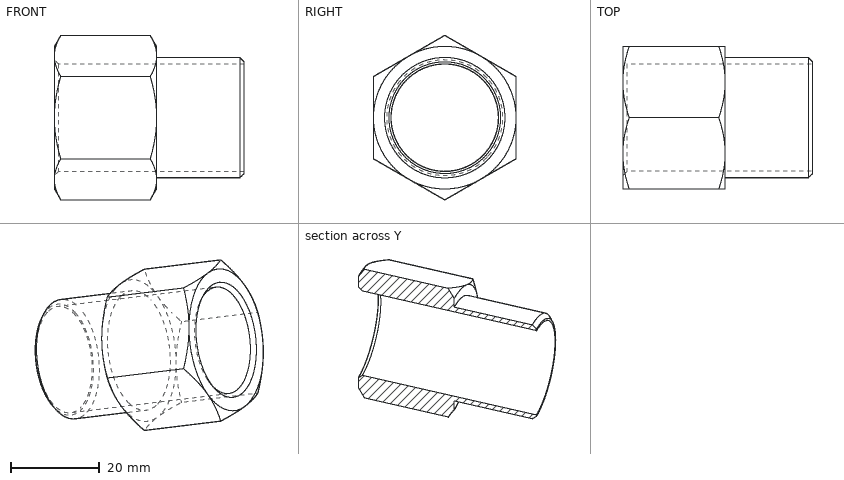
import cadquery as cq
import math

total_length = 42.7
hex_length = 23.0
across_flats = 32.1
spigot_diameter = 27.1
bore_diameter = 24.13
spigot_chamfer = 1.0
bore_chamfer = 1.0
corner_chamfer_angle = 30.0

across_corners = across_flats / math.cos(math.radians(30))
flat_radius = across_flats / 2
corner_radius = across_corners / 2
corner_chamfer_slope = math.tan(math.radians(corner_chamfer_angle))
corner_chamfer_depth = (corner_radius - flat_radius) * corner_chamfer_slope


def make_hexagon():
    """Hexagon with corners on +Z and -Z, its corners turned conical at both ends."""
    prism = (
        cq.Workplane("YZ")
        .polygon(6, across_corners)
        .extrude(hex_length)
        .rotate((0, 0, 0), (1, 0, 0), 90)
    )
    turned_envelope = (
        cq.Workplane("XY")
        .moveTo(0, 0)
        .lineTo(0, flat_radius)
        .lineTo(corner_chamfer_depth, corner_radius)
        .lineTo(hex_length - corner_chamfer_depth, corner_radius)
        .lineTo(hex_length, flat_radius)
        .lineTo(hex_length, 0)
        .close()
        .revolve(360, (0, 0, 0), (1, 0, 0))
    )
    return prism.intersect(turned_envelope)


def make_spigot():
    """Round spigot behind the hexagon, chamfered at its free end."""
    return (
        cq.Workplane("YZ")
        .workplane(offset=hex_length)
        .circle(spigot_diameter / 2)
        .extrude(total_length - hex_length)
        .faces(">X")
        .edges()
        .chamfer(spigot_chamfer)
    )


def make_bore():
    """Through bore with a conical lead-in at the hexagon end."""
    bore_radius = bore_diameter / 2
    return (
        cq.Workplane("XY")
        .moveTo(0, 0)
        .lineTo(0, bore_radius + bore_chamfer)
        .lineTo(bore_chamfer, bore_radius)
        .lineTo(total_length, bore_radius)
        .lineTo(total_length, 0)
        .close()
        .revolve(360, (0, 0, 0), (1, 0, 0))
    )


result = make_hexagon().union(make_spigot()).cut(make_bore())